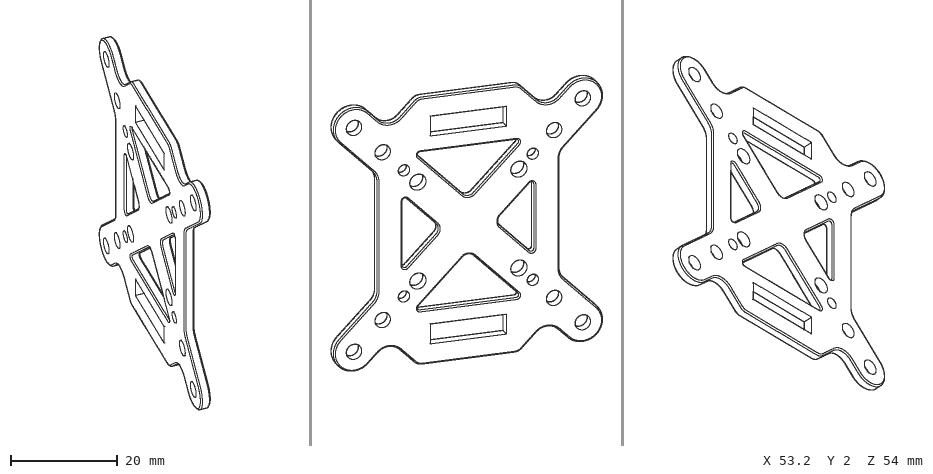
import cadquery as cq
import math

height = 54.0
thickness = 2.0
body_width = 36.0
top_edge_length = 20.0
edge_chamfer = 0.3

arm_radius = 4.0
arm_hole_offset = 22.6

valley_radius = 3.0
shoulder_radius = 2.0
waist_radius = 3.0

hole_groups = [
    (arm_hole_offset, 3.0),
    (16.95, 3.0),
    (12.75, 2.2),
    (10.0, 3.2),
]

slot_length = 15.0
slot_height = 4.0
slot_offset = 21.0

strut_half_width = 3.7
end_window_base = 16.0
side_window_base = 13.0
window_tip_radius = 1.5
window_corner_radius = 0.5


def through_plate(sketch):
    """Extrude a sketch on XZ to the plate thickness, centred on Y = 0."""
    return sketch.extrude(thickness / 2, both=True)


def corner_edges(solid, x, z):
    """Select the edge along Y at (x, z)."""
    reach = 0.05
    low = (x - reach, -thickness, z - reach)
    high = (x + reach, thickness, z + reach)
    return solid.edges("|Y").edges(cq.selectors.BoxSelector(low, high))


def round_corners(solid, points, radius):
    """Fillet the edges along Y that pass through the given (x, z) points."""
    for x, z in points:
        solid = corner_edges(solid, x, z).fillet(radius)
    return solid


def mirrored(x, z):
    """The four mirror images of a point about the X and Z axes."""
    return [(sx * x, sz * z) for sx in (1, -1) for sz in (1, -1)]


def outline_solid():
    """Octagonal body with a round-tipped arm along each diagonal, corners rounded."""
    half_width = body_width / 2
    half_height = height / 2
    half_top = top_edge_length / 2
    shoulder_sum = half_top + half_height
    flank_shift = arm_radius * math.sqrt(2)
    valley = ((shoulder_sum - flank_shift) / 2, (shoulder_sum + flank_shift) / 2)
    waist = (half_width, half_width - flank_shift)
    shoulder = (half_top, half_height)

    body = through_plate(
        cq.Workplane("XZ").polyline([
            (half_width, shoulder_sum - half_width),
            shoulder,
            (-half_top, half_height),
            (-half_width, shoulder_sum - half_width),
            (-half_width, half_width - shoulder_sum),
            (-half_top, -half_height),
            (half_top, -half_height),
            (half_width, half_width - shoulder_sum),
        ]).close()
    )
    arm_span = 2 * (arm_hole_offset * math.sqrt(2) + arm_radius)
    for angle in (45, -45):
        body = body.union(through_plate(cq.Workplane("XZ").slot2D(arm_span, 2 * arm_radius, angle)))

    body = round_corners(body, mirrored(*valley), valley_radius)
    body = round_corners(body, mirrored(*shoulder), shoulder_radius)
    return round_corners(body, mirrored(*waist), waist_radius)


def window(base, turn):
    """Triangular window with its tip toward the centre, turned about Y."""
    tip = strut_half_width * math.sqrt(2)
    half_base = base - tip
    solid = through_plate(
        cq.Workplane("XZ").polyline([(0, tip), (half_base, base), (-half_base, base)]).close()
    )
    solid = round_corners(solid, [(0, tip)], window_tip_radius)
    solid = round_corners(solid, [(half_base, base), (-half_base, base)], window_corner_radius)
    return solid.rotate((0, 0, 0), (0, 1, 0), turn)


result = outline_solid()
for base, turn in (
    (end_window_base, 0),
    (side_window_base, 90),
    (end_window_base, 180),
    (side_window_base, 270),
):
    result = result.cut(window(base, turn))

result = result.faces("|Y").edges().chamfer(edge_chamfer)

for offset, diameter in hole_groups:
    holes = cq.Workplane("XZ").pushPoints(mirrored(offset, offset)).circle(diameter / 2)
    result = result.cut(through_plate(holes))

slots = cq.Workplane("XZ").pushPoints([(0, slot_offset), (0, -slot_offset)]).rect(slot_length, slot_height)
result = result.cut(through_plate(slots))